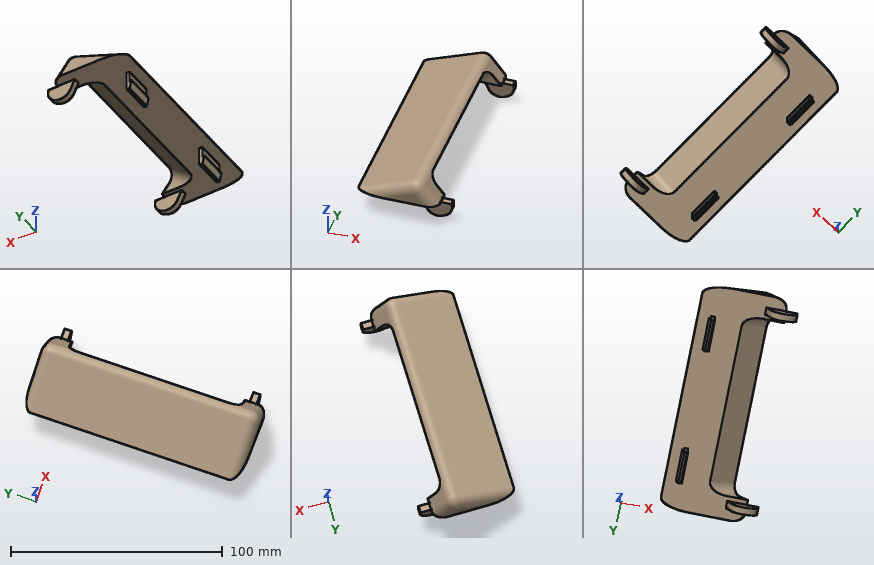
import cadquery as cq
import math

LENGTH = 109.6
BASE_DEPTH = 40.7
FRONT_ANGLE = 21.7
REAR_ANGLE = 52.0
ROUND_RADIUS = 5.0
BLANK_DROP = 13.2

CHEEK_WIDTH = 11.4
NOTCH_RADIUS = 5.5
NOTCH_REACH = 32.9

HOOK_START = 31.1
HOOK_END = 46.2
HOOK_DROP = 8.7
HOOK_RADIUS = 6.0
HOOK_TILT = 25.0
HOOK_WIDTH = 3.4
HOOK_INSET = 5.7

CLIP_FRONT = 6.4
CLIP_THICKNESS = 1.8
CLIP_DROP = 10.3
CLIP_WIDTH = 15.2
CLIP_INSET = 14.9
BARB_REACH = 1.1
BARB_TOP = 5.7
TIP_CHAMFER = 0.5
BARB_TIP_CHAMFER = 0.2

front = math.radians(FRONT_ANGLE)
rear = math.radians(REAR_ANGLE)

apex_x = BASE_DEPTH * math.tan(rear) / (math.tan(front) + math.tan(rear))
apex_z = apex_x * math.tan(front)
half_apex_angle = (math.pi - front - rear) / 2
bisector = math.pi / 2 - (rear - front) / 2
apex_to_center = ROUND_RADIUS / math.sin(half_apex_angle)
ridge_x = apex_x - apex_to_center * math.cos(bisector)
ridge_z = apex_z - apex_to_center * math.sin(bisector)


def extrude_profile(profile, width, y_center):
    """Extrude an XZ profile symmetrically about y = y_center."""
    return profile.extrude(width / 2, both=True).translate((0, y_center, 0))


def rounded_wedge():
    """Wedge with rounded ridge and ends, cut flat on z = 0."""
    front_foot = -BLANK_DROP / math.tan(front)
    rear_foot = BASE_DEPTH + BLANK_DROP / math.tan(rear)
    profile = cq.Workplane("XZ").polyline(
        [(front_foot, -BLANK_DROP), (apex_x, apex_z), (rear_foot, -BLANK_DROP)]
    ).close()
    blank = extrude_profile(profile, LENGTH, 0)
    blank = blank.edges("not <Z").fillet(ROUND_RADIUS)
    trim_size = 2 * LENGTH
    below = cq.Workplane("XY").box(trim_size, trim_size, trim_size).translate((0, 0, -trim_size / 2))
    return blank.cut(below)


def rear_notch():
    """Cutter square to the rear face, starting where the ridge rounding ends."""
    normal = (math.sin(rear), 0, math.cos(rear))
    down_slope = (math.cos(rear), 0, -math.sin(rear))
    tangent_line = (
        ridge_x + ROUND_RADIUS * normal[0],
        0,
        ridge_z + ROUND_RADIUS * normal[2],
    )
    face_plane = cq.Plane(origin=tangent_line, xDir=down_slope, normal=normal)
    return (
        cq.Workplane(face_plane)
        .rect(NOTCH_REACH, LENGTH - 2 * CHEEK_WIDTH)
        .extrude(NOTCH_REACH, both=True)
        .translate(tuple(NOTCH_REACH / 2 * component for component in down_slope))
        .edges(cq.selectors.ParallelDirSelector(cq.Vector(*normal)))
        .edges("<X")
        .fillet(NOTCH_RADIUS)
    )


def hook(y_center):
    """Rounded hook whose flat underside is square to its front face."""
    cos_tilt = math.cos(math.radians(HOOK_TILT))
    sin_tilt = math.sin(math.radians(HOOK_TILT))
    front_z = HOOK_RADIUS - HOOK_DROP
    front_x = HOOK_START + (HOOK_RADIUS - front_z * sin_tilt) / cos_tilt
    back_x = HOOK_END - HOOK_RADIUS
    back_z = front_z + (back_x - front_x) * sin_tilt / cos_tilt

    def front_arc_point(direction_x, direction_z):
        return front_x + HOOK_RADIUS * direction_x, front_z + HOOK_RADIUS * direction_z

    diagonal = math.radians(180 + HOOK_TILT + 90 / 2)
    top_back_x = back_x + math.sqrt(HOOK_RADIUS**2 - back_z**2)
    profile = (
        cq.Workplane("XZ")
        .moveTo(HOOK_START, 0)
        .lineTo(*front_arc_point(-cos_tilt, -sin_tilt))
        .threePointArc(
            front_arc_point(math.cos(diagonal), math.sin(diagonal)),
            front_arc_point(sin_tilt, -cos_tilt),
        )
        .lineTo(back_x + HOOK_RADIUS * sin_tilt, back_z - HOOK_RADIUS * cos_tilt)
        .threePointArc((HOOK_END, back_z), (top_back_x, 0))
        .close()
    )
    return extrude_profile(profile, HOOK_WIDTH, y_center)


def clip(y_center):
    """Straight snap clip with a tapered barb on its front side."""
    clip_back = CLIP_FRONT + CLIP_THICKNESS
    barb_x = CLIP_FRONT - BARB_REACH
    profile = cq.Workplane("XZ").polyline([
        (CLIP_FRONT, 0),
        (CLIP_FRONT, -BARB_TOP),
        (barb_x, -BARB_TOP),
        (CLIP_FRONT - BARB_TIP_CHAMFER, -CLIP_DROP + TIP_CHAMFER),
        (CLIP_FRONT, -CLIP_DROP),
        (clip_back - TIP_CHAMFER, -CLIP_DROP),
        (clip_back, -CLIP_DROP + TIP_CHAMFER),
        (clip_back, 0),
    ]).close()
    return extrude_profile(profile, CLIP_WIDTH, y_center)


result = rounded_wedge().cut(rear_notch())
for side in (-1, 1):
    hook_y = side * (LENGTH / 2 - HOOK_INSET - HOOK_WIDTH / 2)
    clip_y = side * (LENGTH / 2 - CLIP_INSET - CLIP_WIDTH / 2)
    result = result.union(hook(hook_y)).union(clip(clip_y))